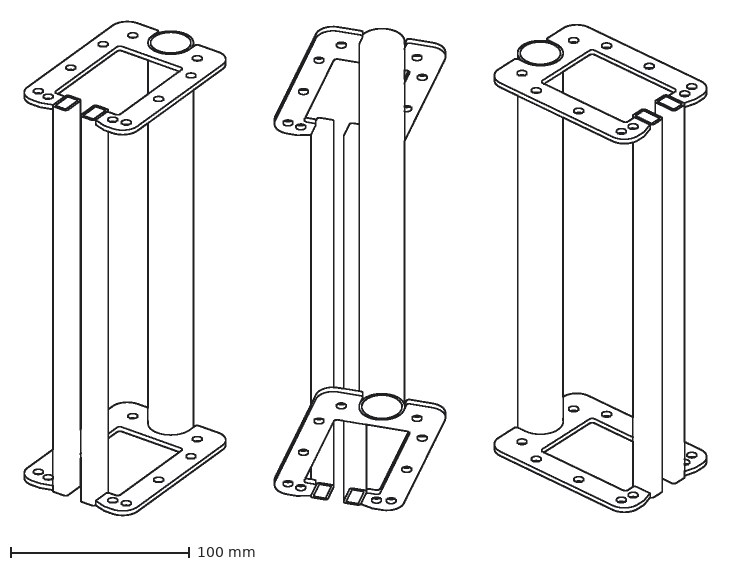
import cadquery as cq


frame_height = 250.0
frame_depth = 108.8

plate_width = 75.0
plate_depth = 103.0
plate_thickness = 3.0
plate_corner_radius = 10.0
mouth_radius = 1.5

window_width = 44.0
window_front = 13.8
window_back = 77.0
window_corner_radius = 2.0

hole_diameter = 5.5
side_hole_x = 30.0
side_hole_front_y = 10.0
side_hole_pitch = 31.5
side_hole_count = 3
inner_hole_x = window_width / 2
inner_hole_ys = (8.2, 90.5)

round_tube_diameter = 25.5
round_tube_wall = 1.5
round_tube_y = frame_depth - round_tube_diameter / 2

rail_width = 10.0
rail_depth = 15.0
rail_wall = 1.5
rail_corner_radius = 1.8
rail_gap = 9.0
rail_front = 0.88
rail_x = (rail_gap + rail_width) / 2
rail_outer_x = rail_x + rail_width / 2
rail_y = rail_front + rail_depth / 2

front_slope_x = window_width / 2
front_slope_rise = 2.2


def make_plate_outline():
    """Rounded plate blank whose front edge slopes back towards the rails."""
    blank = (
        cq.Workplane("XY")
        .rect(plate_width, plate_depth)
        .extrude(plate_thickness)
        .translate((0, plate_depth / 2, 0))
        .edges("|Z")
        .fillet(plate_corner_radius)
    )
    front_relief = (
        cq.Workplane("XY")
        .polyline(
            [
                (-front_slope_x, 0),
                (-rail_outer_x, front_slope_rise),
                (rail_outer_x, front_slope_rise),
                (front_slope_x, 0),
            ]
        )
        .close()
        .extrude(plate_thickness)
    )
    return blank.cut(front_relief)


def cut_window(plate):
    """Rounded window, open to the front between the outer sides of the rails."""
    window_depth = window_back - window_front
    window = (
        cq.Workplane("XY")
        .rect(window_width, window_depth)
        .extrude(plate_thickness)
        .translate((0, window_front + window_depth / 2, 0))
        .edges("|Z")
        .fillet(window_corner_radius)
    )
    opening_depth = window_front + rail_depth
    opening = (
        cq.Workplane("XY")
        .rect(2 * rail_outer_x, opening_depth)
        .extrude(plate_thickness)
        .translate((0, opening_depth / 2, 0))
    )
    return plate.cut(window).cut(opening)


def cut_tube_notch(plate):
    """U-shaped notch that seats the round tube and opens at the back edge."""
    seat = (
        cq.Workplane("XY")
        .center(0, round_tube_y)
        .circle(round_tube_diameter / 2)
        .extrude(plate_thickness)
    )
    slot_depth = plate_depth - round_tube_y
    slot = (
        cq.Workplane("XY")
        .rect(round_tube_diameter, slot_depth)
        .extrude(plate_thickness)
        .translate((0, round_tube_y + slot_depth / 2, 0))
    )
    return plate.cut(seat).cut(slot)


def round_mouths(plate):
    """Round the plate edges beside the tube notch and beside the back of the rail seats."""
    corners = ((round_tube_diameter / 2, plate_depth), (rail_outer_x, window_front))
    for x, y in corners:
        for side in (-1, 1):
            edge = cq.selectors.NearestToPointSelector((side * x, y, plate_thickness / 2))
            plate = plate.edges("|Z").edges(edge).fillet(mouth_radius)
    return plate


def drill_holes(plate):
    """Bolt holes, mirrored about the middle of the plate."""
    right_side = [(side_hole_x, side_hole_front_y + i * side_hole_pitch) for i in range(side_hole_count)]
    right_side += [(inner_hole_x, y) for y in inner_hole_ys]
    points = [(side * x, y) for side in (-1, 1) for x, y in right_side]
    holes = cq.Workplane("XY").pushPoints(points).circle(hole_diameter / 2).extrude(plate_thickness)
    return plate.cut(holes)


def make_plate(bottom_z):
    plate = cut_tube_notch(cut_window(make_plate_outline()))
    plate = drill_holes(round_mouths(plate))
    return plate.translate((0, 0, bottom_z))


def make_round_tube():
    outer_radius = round_tube_diameter / 2
    return (
        cq.Workplane("XY")
        .center(0, round_tube_y)
        .circle(outer_radius)
        .circle(outer_radius - round_tube_wall)
        .extrude(frame_height)
    )


def make_rail(x):
    outside = cq.Workplane("XY").rect(rail_width, rail_depth).extrude(frame_height)
    outside = outside.edges("|Z").fillet(rail_corner_radius)
    bore = (
        cq.Workplane("XY")
        .rect(rail_width - 2 * rail_wall, rail_depth - 2 * rail_wall)
        .extrude(frame_height)
        .edges("|Z")
        .fillet(rail_corner_radius - rail_wall)
    )
    return outside.cut(bore).translate((x, rail_y, 0))


plates = [make_plate(z) for z in (0, frame_height - plate_thickness)]
round_tube = make_round_tube()
rails = [make_rail(side * rail_x) for side in (-1, 1)]

result = cq.Compound.makeCompound(
    [plate.val() for plate in plates] + [round_tube.val()] + [rail.val() for rail in rails]
)